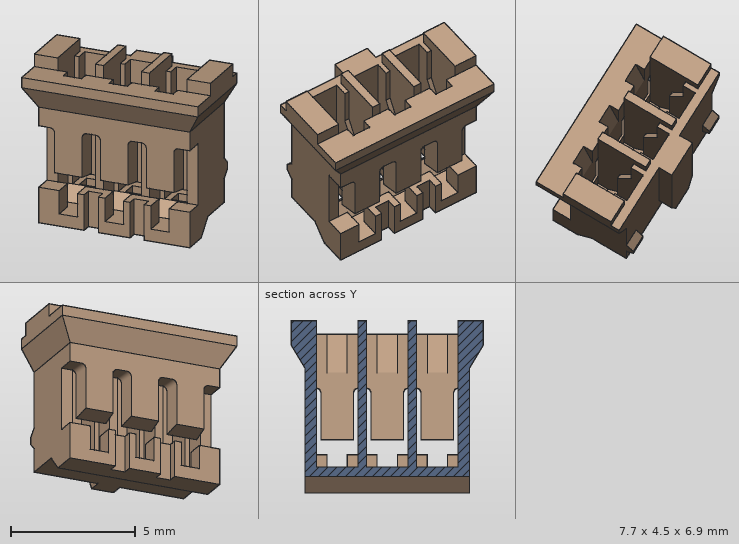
import cadquery as cq
import math


contact_count = 3
pitch = 2.0

rim_width = 7.7
body_width = 6.6
body_back = 3.45
rim_overhang = 0.45
height = 6.9
block_height = 0.54
rim_top = height - block_height
rim_thickness = 0.44
rim_bottom = rim_top - rim_thickness
flare_height = 0.92
flare_bottom = rim_bottom - flare_height
body_bottom = 0.68
foot_depth = 1.155
foot_slope_run = 0.67

front_wall = 0.825
pocket_width = 1.65
pocket_floor = 0.53
ramp_start = 1.285
seat_front = 1.855
seat_floor = pocket_floor + seat_front - ramp_start
channel_width = 1.25
channel_back = 3.065
shoulder_height = 3.69
shoulder_back = 2.495
shoulder_angle = math.radians(60)
shoulder_top = shoulder_height + (shoulder_back - seat_front) * math.tan(shoulder_angle)
pin_hole = 0.7
pin_hole_center = 2.28

window_bottom = 1.54
window_top = 4.2
tongue_root_fillet = 0.21
tongue_front_width = 1.2
tongue_back_width = 1.31
tongue_tip_front = 2.28
tongue_tip_angle = math.radians(10)
tongue_tip_back = tongue_tip_front - front_wall * math.tan(tongue_tip_angle)

notch_width = 0.8
groove_front = 0.41
groove_angle = math.radians(75)
groove_bottom = rim_top - (front_wall - groove_front) * math.tan(groove_angle)

recess_width = 0.615
recess_depth = 0.415

key_width = 1.58
key_depth = 0.6
key_taper_top = 1.625
key_taper_inset = 0.31
bump_width = 0.75
bump_depth = 0.32
bump_bottom = 1.7
bump_height = 0.89
bump_tip_height = 0.29

contact_xs = [(i - (contact_count - 1) / 2) * pitch for i in range(contact_count)]
between_xs = [(a + b) / 2 for a, b in zip(contact_xs, contact_xs[1:])]


def block(x_center, width, y0, y1, z0, z1):
    """Box centred on x_center, between two depths and two heights."""
    return (
        cq.Workplane("XY", origin=(x_center, y0, z0))
        .box(width, y1 - y0, z1 - z0, centered=(True, False, False))
    )


def side_prism(x_center, width, points):
    """Prism along X with a (y, z) outline."""
    return (
        cq.Workplane("YZ", origin=(x_center, 0, 0))
        .polyline(points)
        .close()
        .extrude(width / 2, both=True)
    )


def make_body():
    """Body with the rim flared at the front and both ends."""
    side = side_prism(0, rim_width, [
        (0, 0),
        (foot_depth, 0),
        (foot_depth + foot_slope_run, body_bottom),
        (body_back, body_bottom),
        (body_back, rim_top),
        (-rim_overhang, rim_top),
        (-rim_overhang, rim_bottom),
        (0, flare_bottom),
    ])
    half_body = body_width / 2
    half_rim = rim_width / 2
    front = (
        cq.Workplane("XZ", origin=(0, body_back, 0))
        .polyline([
            (-half_body, 0),
            (half_body, 0),
            (half_body, flare_bottom),
            (half_rim, rim_bottom),
            (half_rim, rim_top),
            (-half_rim, rim_top),
            (-half_rim, rim_bottom),
            (-half_body, flare_bottom),
        ])
        .close()
        .extrude(body_back + rim_overhang)
    )
    raised = block(0, rim_width, front_wall, channel_back, rim_top, height)
    return side.intersect(front).union(raised)


def make_key():
    """Central rib on the back, narrowing toward its lower end."""
    half_top = key_width / 2
    half_bottom = half_top - key_taper_inset
    return (
        cq.Workplane("XZ", origin=(0, body_back + key_depth, 0))
        .polyline([
            (-half_bottom, body_bottom),
            (half_bottom, body_bottom),
            (half_top, key_taper_top),
            (half_top, rim_top),
            (-half_top, rim_top),
            (-half_top, key_taper_top),
        ])
        .close()
        .extrude(key_depth)
    )


def make_bump(x_center):
    """Latch bump with sloped top and bottom."""
    slope_height = (bump_height - bump_tip_height) / 2
    return side_prism(x_center, bump_width, [
        (body_back, bump_bottom),
        (body_back + bump_depth, bump_bottom + slope_height),
        (body_back + bump_depth, bump_bottom + slope_height + bump_tip_height),
        (body_back, bump_bottom + bump_height),
    ])


def make_pocket(x_center):
    """Open-topped contact pocket with a ramp, shoulders, a rear channel and a pin hole."""
    pocket = side_prism(x_center, pocket_width, [
        (front_wall, pocket_floor),
        (ramp_start, pocket_floor),
        (seat_front, seat_floor),
        (seat_front, shoulder_height),
        (shoulder_back, shoulder_top),
        (shoulder_back, height),
        (front_wall, height),
    ])
    channel = block(x_center, channel_width, seat_front, channel_back, seat_floor, height)
    headroom = block(x_center, pocket_width, shoulder_back, channel_back, rim_top, height)
    hole_front = pin_hole_center - pin_hole / 2
    pin = block(x_center, pin_hole, hole_front, hole_front + pin_hole, 0, seat_floor)
    return pocket.union(channel).union(headroom).union(pin)


def make_tongue(x_center):
    """Spring tongue that widens toward the pocket, with rounded roots at the window top."""
    def section(width):
        half = width / 2
        r = tongue_root_fillet
        return (
            cq.Workplane("XZ")
            .moveTo(-half, window_bottom)
            .lineTo(half, window_bottom)
            .lineTo(half, window_top - r)
            .radiusArc((half + r, window_top), r)
            .lineTo(-half - r, window_top)
            .radiusArc((-half, window_top - r), r)
            .close()
            .wires()
            .val()
        )

    back = section(tongue_back_width).translate(cq.Vector(0, front_wall, 0))
    front = section(tongue_front_width)
    tongue = cq.Workplane(cq.Solid.makeLoft([front, back], True))
    below_tip = side_prism(0, body_width, [
        (0, 0),
        (front_wall, 0),
        (front_wall, tongue_tip_back),
        (0, tongue_tip_front),
    ])
    return tongue.cut(below_tip).translate((x_center, 0, 0))


def make_window():
    """Opening across the whole front wall, leaving only the tongues."""
    window = block(0, rim_width, 0, front_wall, window_bottom, window_top)
    for x in contact_xs:
        window = window.cut(make_tongue(x))
    return window


def make_notch(x_center):
    """Square notch through the foot, level with the pocket floor."""
    return block(x_center, notch_width, 0, front_wall, pocket_floor, window_bottom)


def make_lead_in_groove(x_center):
    """Groove in the pocket side of the front wall, fading out down a steep slope."""
    return side_prism(x_center, notch_width, [
        (groove_front, rim_top),
        (front_wall, rim_top),
        (front_wall, groove_bottom),
    ])


def make_recess(x_center):
    """Vertical recess in the front of the foot."""
    return block(x_center, recess_width, 0, recess_depth, 0, window_bottom)


result = make_body().cut(make_window())
for x in contact_xs:
    result = result.cut(make_pocket(x)).cut(make_notch(x)).cut(make_lead_in_groove(x))
for x in between_xs:
    result = result.cut(make_recess(x))

result = result.union(make_key())
bump_center = (body_width - bump_width) / 2
for x in (-bump_center, bump_center):
    result = result.union(make_bump(x))